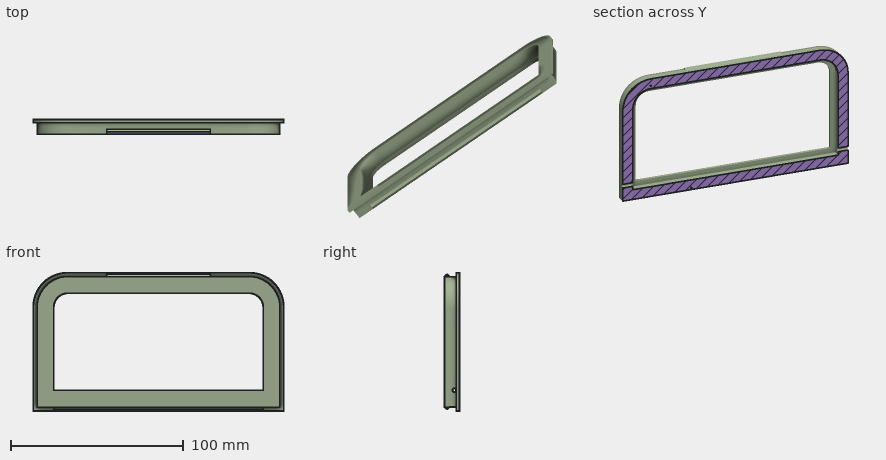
import cadquery as cq

WIDTH = 145.0
HEIGHT = 80.0
DEPTH = 8.7
CORNER_RADIUS = 20.0

FLANGE_THICKNESS = 2.0
BODY_INSET = 2.3

WINDOW_INSET = 12.0
LIP_THICKNESS = 1.7
REBATE_WIDTH = 3.2
REBATE_INSET = WINDOW_INSET - REBATE_WIDTH

RIDGE_HEIGHT = 1.3
RIDGE_BASE = 3.0
TOP_RIDGE_LENGTH = 60.0
BOTTOM_RIDGE_LENGTH = WIDTH - 2 * WINDOW_INSET

HOLE_DIAMETER = 2.0
HOLE_Y = DEPTH - FLANGE_THICKNESS - HOLE_DIAMETER / 2
HOLE_Z = 12.0


def arched_plate(inset, y_start, y_end):
    """Plate with rounded upper corners, its outline inset from the outer one."""
    width = WIDTH - 2 * inset
    height = HEIGHT - 2 * inset
    thickness = y_end - y_start
    plate = cq.Workplane("XY").box(width, thickness, height, centered=(True, False, False))
    plate = plate.edges("|Y and >Z").fillet(CORNER_RADIUS - inset)
    return plate.translate((0, y_start, inset))


def snap_ridge(length, base_z, direction):
    """Ridge along X, pointing up (direction 1) or down (direction -1)."""
    profile = [
        (0, base_z),
        (RIDGE_BASE / 2, base_z + direction * RIDGE_HEIGHT),
        (RIDGE_BASE, base_z),
    ]
    return cq.Workplane("YZ").polyline(profile).close().extrude(length / 2, both=True)


flange = arched_plate(0, DEPTH - FLANGE_THICKNESS, DEPTH)
body = arched_plate(BODY_INSET, 0, DEPTH)
window = arched_plate(WINDOW_INSET, 0, DEPTH)
rebate = arched_plate(REBATE_INSET, LIP_THICKNESS, DEPTH)
frame = flange.union(body).cut(window).cut(rebate)

top_ridge = snap_ridge(TOP_RIDGE_LENGTH, HEIGHT - BODY_INSET, 1)
bottom_ridge = snap_ridge(BOTTOM_RIDGE_LENGTH, BODY_INSET, -1)

cross_hole = (
    cq.Workplane("YZ")
    .center(HOLE_Y, HOLE_Z)
    .circle(HOLE_DIAMETER / 2)
    .extrude(WIDTH / 2, both=True)
)

result = frame.union(top_ridge).union(bottom_ridge).cut(cross_hole)